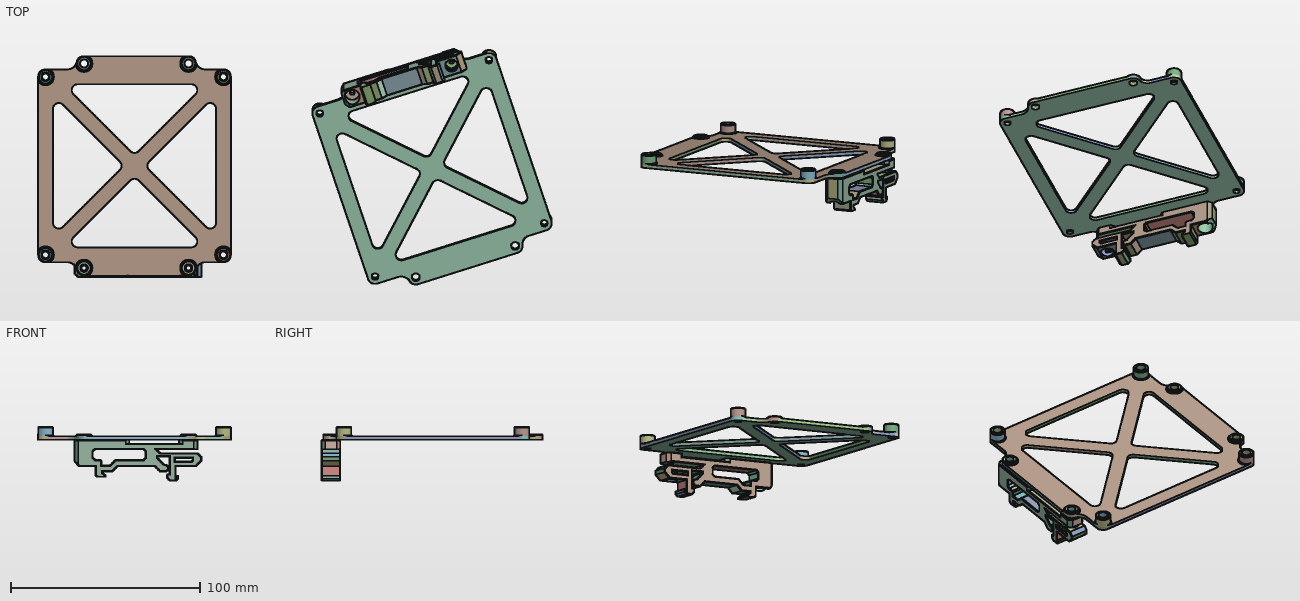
import cadquery as cq
import math


overall_length = 116.9
plate_side = 102.0
plate_thickness = 2.0
frame_width = 8.0
window_fillet = 3.0

boss_diameter = 8.0
boss_radius = boss_diameter / 2
boss_chamfer = 0.5
standoff_height = 7.0
standoff_bore = 4.7
standoff_hole = 3.5
lug_height = 3.0
lug_hole = 4.2

half_side = plate_side / 2
standoff_place = half_side - boss_radius
standoff_points = [(x, y) for x in (-standoff_place, standoff_place) for y in (-standoff_place, standoff_place)]

tab_center_x = 0.9
lug_half_spacing = 27.6
lug_y = 54.0
lug_xs = [tab_center_x - lug_half_spacing, tab_center_x + lug_half_spacing]
lug_points = [(x, y) for x in lug_xs for y in (-lug_y, lug_y)]
tab_end = lug_y + boss_radius
tab_blend = 5.0

clip_width = 10.0
clip_front = tab_end - overall_length
clip_left = -31.8
clip_right = 33.3
clip_corner = 2.0
clip_edge = 0.4
screw_hole = 2.7
block_recess = 8.0
arm_access = 6.5
screw_chamfer = 0.41
beam_bottom = -5.0
rail_bottom = -14.0
foot_bottom = -19.5
dip_bottom = -16.8
foot_left = -20.7
stem_bottom = -21.6
stem_left = 18.5
stem_right = 21.9
arm_top = -7.0
arm_end = 35.4

relief_left = -2.7
relief_right = 23.4
relief_depth = 2.0


def window(angle):
    """One triangular plate window, opening toward +X before it is turned by angle."""
    apex = frame_width / math.sqrt(2)
    outer = half_side - frame_width
    half_height = outer - apex
    return (
        cq.Workplane("XY")
        .polyline([(apex, 0), (outer, -half_height), (outer, half_height)])
        .close()
        .extrude(plate_thickness)
        .edges("|Z")
        .fillet(window_fillet)
        .rotate((0, 0, 0), (0, 0, 1), angle)
    )


def tab():
    """Flat tab on the +Y side, blended into the plate edge by concave arcs around the lugs."""
    blend_y = half_side + tab_blend
    blend_dx = math.sqrt((boss_radius + tab_blend) ** 2 - (blend_y - lug_y) ** 2)
    reach = boss_radius / (boss_radius + tab_blend)
    touch_dx = blend_dx * reach
    touch_y = lug_y + (blend_y - lug_y) * reach
    middle_angle = (math.atan2(touch_y - blend_y, touch_dx - blend_dx) % (2 * math.pi) + 1.5 * math.pi) / 2
    middle_dx = blend_dx + tab_blend * math.cos(middle_angle)
    middle_y = blend_y + tab_blend * math.sin(middle_angle)
    left, right = lug_xs
    return (
        cq.Workplane("XY")
        .moveTo(left - blend_dx, half_side - frame_width / 2)
        .lineTo(left - blend_dx, half_side)
        .threePointArc((left - middle_dx, middle_y), (left - touch_dx, touch_y))
        .lineTo(left, lug_y)
        .lineTo(left, tab_end)
        .lineTo(right, tab_end)
        .lineTo(right, lug_y)
        .lineTo(right + touch_dx, touch_y)
        .threePointArc((right + middle_dx, middle_y), (right + blend_dx, half_side))
        .lineTo(right + blend_dx, half_side - frame_width / 2)
        .close()
        .extrude(plate_thickness)
    )


def bosses(points, height):
    """Round bosses with a beveled rim."""
    return (
        cq.Workplane("XY")
        .pushPoints(points)
        .circle(boss_radius)
        .extrude(height)
        .faces(">Z")
        .chamfer(boss_chamfer)
    )


def cylinders(points, diameter, bottom, top):
    return cq.Workplane("XY", origin=(0, 0, bottom)).pushPoints(points).circle(diameter / 2).extrude(top - bottom)


def boss_flares(points):
    """Short conical rings around the boss feet, standing on the plate."""
    foot_radius = boss_radius + boss_chamfer
    cones = (
        cq.Workplane("XY", origin=(0, 0, plate_thickness))
        .pushPoints(points)
        .circle(foot_radius)
        .extrude(boss_chamfer, taper=45)
    )
    return cones.cut(cylinders(points, boss_diameter, plate_thickness, plate_thickness + boss_chamfer))


def make_plate():
    outline = (
        cq.Workplane("XY")
        .rect(plate_side, plate_side)
        .extrude(plate_thickness)
        .edges("|Z")
        .fillet(boss_radius)
        .union(tab())
        .union(tab().mirror("XZ"))
    )
    above_outline = outline.translate((0, 0, plate_thickness))
    body = outline.union(boss_flares(standoff_points + lug_points).intersect(above_outline))
    for angle in (0, 90, 180, 270):
        body = body.cut(window(angle))
    body = body.union(bosses(standoff_points, standoff_height)).union(bosses(lug_points, lug_height))
    body = body.cut(cylinders(standoff_points, standoff_hole, 0, standoff_height))
    body = body.cut(cylinders(standoff_points, standoff_bore, plate_thickness, standoff_height))
    return body.cut(cylinders(lug_points, lug_hole, 0, lug_height))


def clip_prism(points):
    """Prism across the clip width from an outline of (x, z) points."""
    back = clip_front + clip_width
    return cq.Workplane("XZ", origin=(0, back, 0)).polyline(points).close().extrude(clip_width)


def clip_profile():
    block_and_foot = [
        (clip_left, 0),
        (clip_left, -11.1),
        (-29.3, rail_bottom),
        (foot_left, rail_bottom),
        (foot_left, -18.7),
        (-19.9, foot_bottom),
        (-15.1, foot_bottom),
        (-15.1, -19.0),
        (-16.8, -17.4),
        (-16.8, dip_bottom),
    ]
    rail_and_stop = [
        (-11.7, dip_bottom),
        (-8.9, rail_bottom),
        (10.6, rail_bottom),
        (13.5, dip_bottom),
        (16.8, dip_bottom),
        (17.9, -15.8),
        (17.9, -14.1),
        (16.8, -13.1),
        (15.8, -13.1),
        (12.2, -9.5),
        (12.2, -8.9),
    ]
    stem = [
        (stem_left, -8.9),
        (stem_left, -18.1),
        (17.5, -18.1),
        (17.1, -18.6),
        (17.1, -20.1),
        (18.6, stem_bottom),
        (22.0, stem_bottom),
        (23.2, -20.5),
        (23.2, -19.0),
        (22.5, -19.0),
        (stem_right, -19.5),
        (stem_right, rail_bottom),
    ]
    arm_and_beam = [
        (32.5, rail_bottom),
        (arm_end, -11.1),
        (arm_end, -9.0),
        (33.5, arm_top),
        (13.7, arm_top),
        (11.7, beam_bottom),
        (clip_right, beam_bottom),
        (clip_right, 0),
    ]
    return clip_prism(block_and_foot + rail_and_stop + stem + arm_and_beam)


def rail_window():
    rail_top = -10.5
    return clip_prism([
        (-20.7, beam_bottom),
        (-22.0, -6.2),
        (-22.0, -9.2),
        (-20.7, rail_top),
        (-18.0, rail_top),
        (-17.3, -11.2),
        (-17.3, -13.5),
        (-13.0, -13.5),
        (-10.0, rail_top),
        (4.7, rail_top),
        (5.7, -9.5),
        (5.7, -6.1),
        (4.7, beam_bottom),
    ])


def arm_slot():
    return clip_prism([(21.4, -9.7), (30.8, -9.7), (30.8, -10.6), (30.0, -11.3), (21.4, -11.3)])


def relief():
    """Shallow relief in the top of the clip, flared toward both side faces."""
    back = clip_front + clip_width
    flare = clip_corner
    return (
        cq.Workplane("XY", origin=(0, 0, -relief_depth))
        .polyline([
            (relief_left - flare, clip_front),
            (relief_right + flare, clip_front),
            (relief_right, clip_front + flare),
            (relief_right, back - flare),
            (relief_right + flare, back),
            (relief_left - flare, back),
            (relief_left, back - flare),
            (relief_left, clip_front + flare),
        ])
        .close()
        .extrude(relief_depth)
    )


def takes_edge_bevel(edge):
    """The top is beveled already; the foot underside, beveled ends and flared relief walls stay sharp."""
    place = edge.Center()
    on_top = math.isclose(place.z, 0, abs_tol=clip_edge + 0.01)
    on_foot = place.x < 0 and math.isclose(place.z, foot_bottom)
    on_relief_wall = -relief_depth < place.z < 0
    on_left_end = math.isclose(place.x, clip_left + clip_corner)
    on_right_end = math.isclose(place.x, clip_right - clip_corner)
    return not (on_top or on_foot or on_relief_wall or on_left_end or on_right_end)


def end_corners(x):
    """Selector for the corner edges of one end face of the upper part of the clip, at x."""
    margin = 0.1
    bottom = -11.7
    low = (x - margin, clip_front - margin, bottom)
    high = (x + margin, clip_front + clip_width + margin, margin)
    return cq.selectors.BoxSelector(low, high)


def screw_holes():
    """Screw holes through the upper beam, with a recess in the block and an access hole in the arm."""
    points = [(x, -lug_y) for x in lug_xs]
    shafts = cylinders(points, screw_hole, beam_bottom, 0)
    rims = (
        cq.Workplane("XY")
        .pushPoints(points)
        .circle(screw_hole / 2 + screw_chamfer)
        .extrude(-screw_chamfer, taper=45)
    )
    recess = cylinders(points[:1], block_recess, rail_bottom, beam_bottom)
    access = cylinders(points[1:], arm_access, rail_bottom, arm_top)
    return shafts.union(rims).union(recess).union(access)


def make_clip():
    body = clip_profile().cut(rail_window()).cut(arm_slot())
    for x in (clip_left, clip_right):
        body = body.edges("|Z").edges(end_corners(x)).chamfer(clip_corner)
    body = body.faces(">Z").edges().chamfer(clip_edge)
    body = body.cut(relief())
    body = body.faces("<Y or >Y").edges().filter(takes_edge_bevel).chamfer(clip_edge)
    return body.cut(screw_holes())


plate = make_plate()
clip = make_clip()
result = cq.Compound.makeCompound([plate.val(), clip.val()])